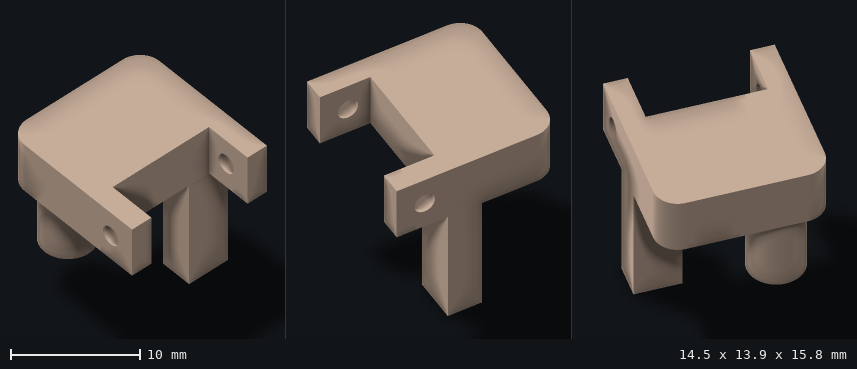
import cadquery as cq

length = 14.5
width = 13.95
height = 15.75

plate_thickness = 5.0
plate_bottom = height - plate_thickness
corner_radius = 2.0
arm_thickness = 2.0
slot_start = 10.0

hole_diameter = 1.8
hole_x = 12.0
hole_z = height - plate_thickness / 2

pin_diameter = 4.8
pin_x = 2.91
pin_y = 3.65
pin_length = 6.74

leg_start = 6.9
leg_length = 3.05
leg_width = 4.0


def corner_box(x, y, z, size_x, size_y, size_z):
    """Box with its lowest corner at (x, y, z)."""
    box = cq.Workplane("XY").box(size_x, size_y, size_z, centered=False)
    return box.translate((x, y, z))


def make_plate():
    plate = corner_box(0, 0, plate_bottom, length, width, plate_thickness)
    plate = plate.edges("|Z and <X").fillet(corner_radius)
    slot = corner_box(
        slot_start, arm_thickness, plate_bottom,
        length - slot_start, width - 2 * arm_thickness, plate_thickness,
    )
    cross_hole = (
        cq.Workplane("XZ")
        .center(hole_x, hole_z)
        .circle(hole_diameter / 2)
        .extrude(-width)
    )
    return plate.cut(slot).cut(cross_hole)


def make_pin():
    return (
        cq.Workplane("XY", origin=(pin_x, pin_y, plate_bottom))
        .circle(pin_diameter / 2)
        .extrude(-pin_length)
    )


def make_leg():
    return corner_box(leg_start, width - leg_width, 0, leg_length, leg_width, plate_bottom)


result = make_plate().union(make_pin()).union(make_leg())